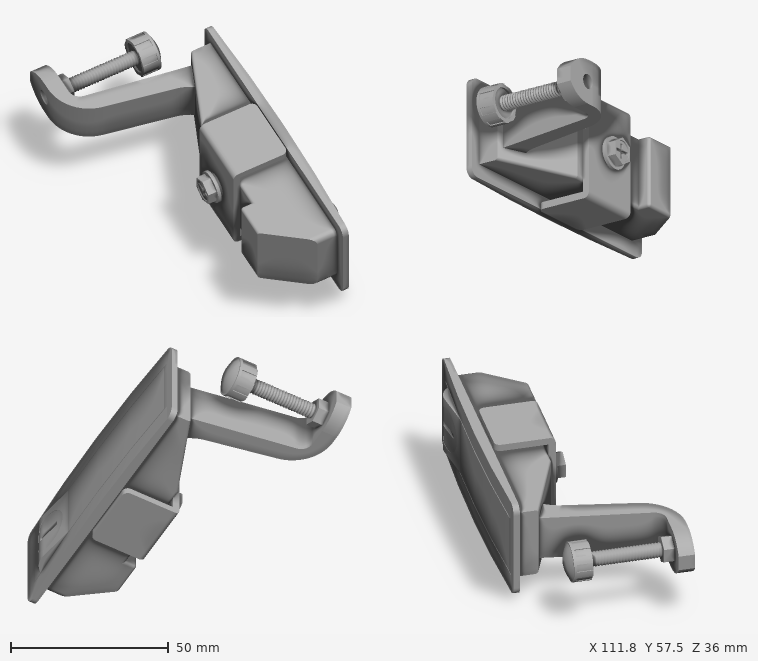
import cadquery as cq
import math


PLATE_LENGTH = 92.5
PLATE_WIDTH = 33.5
PLATE_THICKNESS = 2.1
PLATE_CORNER_RADIUS = 3.0
CROWN_LENGTH = PLATE_LENGTH - 2 * PLATE_CORNER_RADIUS
CROWN_TOP = 3.5

HANDLE_WIDTH = 20.0
HANDLE_GAP = 0.5
HANDLE_LENGTH = 82.7
BUMP_RADIUS = 6.6
BUMP_X = 32.2
BUMP_TOP = 5.1
BUMP_RAMP = math.radians(8.3)
LOCK_X = 28.7
LOCK_DIAMETER = 15.0
LOCK_DEPTH = 0.1
KEY_SLOT_WIDTH = 1.7
KEY_SLOT_LENGTH = 8.9
KEY_SLOT_FLOOR = 3.7

HOUSING_LENGTH = 84.5
HOUSING_WIDTH = 23.9
HOUSING_END_DEPTH = 7.0
HOUSING_DEPTH = 18.2
SLOPE_END_X = -14.3
TOE_DEPTH = 22.4
TOE_START_X = 19.1
TOE_END_X = 30.6
HOUSING_EDGE_RADIUS = 1.0
HOUSING_CORNER_RADIUS = 2.0

ARM_WIDTH = 15.0
ARM_THICKNESS = 5.4
ARM_FOOT_DEPTH = 52.4
ARM_TIP_X = PLATE_LENGTH / 2 - 111.8
ARM_TIP_RADIUS = 11.2
ARM_OUTER_RADIUS = 14.8
ARM_INNER_RADIUS = 4.0
ARM_BEND_X = -53.6
ARM_OUTER_LEAN = math.radians(11)
ARM_INNER_LEAN = math.radians(9)
ARM_INNER_CORNER_X = -46.4
ARM_NECK_Y = -16.5
ARM_NECK_RADIUS = 15.0
ARM_NECK_END_LEAN = math.radians(45)
ARM_ROOT_Y = -4.5

ADJUSTER_X = -56.2
THREAD_DIAMETER = 5.0
THREAD_ROOT_DIAMETER = 4.5
THREAD_PITCH = 1.0
NUT_ACROSS_FLATS = 8.0
NUT_HEIGHT = 3.5
KNOB_DIAMETER = 13.1
KNOB_TOP_Y = -13.6
KNOB_BOTTOM_Y = -19.9
KNOB_DOME_DIAMETER = 12.1
KNOB_DOME_HEIGHT = 2.0
KNOB_RECESS_DIAMETER = 10.2
KNOB_RECESS_DEPTH = 0.7
FLUTE_COUNT = 8
FLUTE_DEPTH = 0.3
FLUTE_END_Y = -14.5

BRACKET_LENGTH = 22.6
BRACKET_WIDTH = 36.0
BRACKET_THICKNESS = 2.3
BRACKET_TOP_Y = -0.8
BRACKET_BOTTOM_Y = -HOUSING_DEPTH - BRACKET_THICKNESS
BRACKET_RADIUS = 2.0

BOLT_NECK_DIAMETER = 8.5
BOLT_NECK_HEIGHT = 0.7
BOLT_CONE_DIAMETER = 9.3
BOLT_CONE_HEIGHT = 0.5
BOLT_FLANGE_DIAMETER = 11.0
BOLT_FLANGE_HEIGHT = 1.1
BOLT_ACROSS_FLATS = 8.0
BOLT_HEAD_HEIGHT = 2.9
DISH_DIAMETER = 7.0
DISH_DEPTH = 0.5
CROSS_WIDTH = 1.0
CROSS_LONG = DISH_DIAMETER
CROSS_SHORT = 5.1
CROSS_CENTRE = 2.7
CROSS_DEPTH = 1.3


def extrude_across(outline, width):
    """Extrude an XY outline by `width`, centred on Z = 0."""
    return outline.extrude(width / 2, both=True)


def plane_at(x, y):
    """Workplane at (x, y, 0) facing -Y, with local X along X and local Y along Z."""
    return cq.Workplane("XZ", origin=(x, y, 0))


def hexagon_prism(x, y, across_flats, height):
    """Hexagonal prism going from y towards -Y, with two corners on the Z axis."""
    corner_diameter = across_flats / math.cos(math.pi / 6)
    return (
        plane_at(x, y)
        .transformed(rotate=(0, 0, 90))
        .polygon(6, corner_diameter)
        .extrude(height)
    )


def crowned_strip(length, width):
    """Strip whose top follows the crown arc, cut to a length and width."""
    half = CROWN_LENGTH / 2
    crown = (
        cq.Workplane("XY")
        .moveTo(-half, 0)
        .lineTo(-half, PLATE_THICKNESS)
        .threePointArc((0, CROWN_TOP), (half, PLATE_THICKNESS))
        .lineTo(half, 0)
        .close()
    )
    limits = cq.Workplane("XY").box(length, 4 * CROWN_TOP, width)
    return extrude_across(crown, width).intersect(limits)


def make_plate():
    rim = (
        plane_at(0, 0)
        .rect(PLATE_LENGTH, PLATE_WIDTH)
        .extrude(-PLATE_THICKNESS)
        .edges("|Y")
        .fillet(PLATE_CORNER_RADIUS)
    )
    window = cq.Workplane("XY", origin=(0, PLATE_THICKNESS + CROWN_TOP / 2, 0)).box(
        CROWN_LENGTH, CROWN_TOP, HANDLE_WIDTH + 2 * HANDLE_GAP
    )
    return rim.union(crowned_strip(CROWN_LENGTH, PLATE_WIDTH).cut(window))


def make_bump():
    """Finger bump: a straight ramp tangent to a round nose, with a sunk lock disc and a key slot."""
    nose_y = BUMP_TOP - BUMP_RADIUS
    tangent_x = BUMP_X - BUMP_RADIUS * math.sin(BUMP_RAMP)
    tangent_y = nose_y + BUMP_RADIUS * math.cos(BUMP_RAMP)
    ramp_start_x = tangent_x - tangent_y / math.tan(BUMP_RAMP)
    nose_end_x = BUMP_X + math.sqrt(BUMP_RADIUS**2 - nose_y**2)
    outline = (
        cq.Workplane("XY")
        .moveTo(ramp_start_x, 0)
        .lineTo(tangent_x, tangent_y)
        .threePointArc((BUMP_X, BUMP_TOP), (nose_end_x, 0))
        .close()
    )
    bump = extrude_across(outline, HANDLE_WIDTH)
    lock_column = plane_at(LOCK_X, 0).circle(LOCK_DIAMETER / 2).extrude(-BUMP_TOP)
    lock = bump.translate((0, -LOCK_DEPTH, 0)).intersect(lock_column)
    key_slot = plane_at(LOCK_X, KEY_SLOT_FLOOR).rect(KEY_SLOT_LENGTH, KEY_SLOT_WIDTH).extrude(-BUMP_TOP)
    return bump.cut(lock_column).union(lock).cut(key_slot)


def make_handle():
    return crowned_strip(HANDLE_LENGTH, HANDLE_WIDTH).union(make_bump())


def make_shell():
    half = HOUSING_LENGTH / 2
    outline = cq.Workplane("XY").polyline(
        [
            (-half, 0),
            (half, 0),
            (half, -HOUSING_END_DEPTH),
            (TOE_END_X, -TOE_DEPTH),
            (TOE_START_X, -TOE_DEPTH),
            (TOE_START_X, -HOUSING_DEPTH),
            (SLOPE_END_X, -HOUSING_DEPTH),
            (-half, -HOUSING_END_DEPTH),
        ]
    ).close()
    shell = extrude_across(outline, HOUSING_WIDTH)
    shell = shell.edges("|Y and >X").fillet(HOUSING_CORNER_RADIUS)

    side = HOUSING_WIDTH / 2
    rounded_edges = [(TOE_START_X, -TOE_DEPTH, 0)]
    for z in (-side, side):
        rounded_edges += [
            ((SLOPE_END_X - half) / 2, -(HOUSING_DEPTH + HOUSING_END_DEPTH) / 2, z),
            ((SLOPE_END_X + TOE_START_X) / 2, -HOUSING_DEPTH, z),
            (TOE_START_X, -(HOUSING_DEPTH + TOE_DEPTH) / 2, z),
            ((TOE_START_X + TOE_END_X) / 2, -TOE_DEPTH, z),
        ]
    picked = shell.newObject([])
    for point in rounded_edges:
        picked = picked.add(shell.edges(cq.selectors.NearestToPointSelector(point)))
    return picked.fillet(HOUSING_EDGE_RADIUS)


def make_arm():
    foot_y = -ARM_FOOT_DEPTH
    top_y = foot_y + ARM_THICKNESS
    bend_y = foot_y + ARM_OUTER_RADIUS

    def outer_bend(angle):
        return (
            ARM_BEND_X + ARM_OUTER_RADIUS * math.cos(angle),
            bend_y + ARM_OUTER_RADIUS * math.sin(angle),
        )

    outer_start = outer_bend(-ARM_OUTER_LEAN)
    neck_x = outer_start[0] + (ARM_NECK_Y - outer_start[1]) * math.tan(ARM_OUTER_LEAN)
    neck_centre = (
        neck_x + ARM_NECK_RADIUS * math.cos(ARM_OUTER_LEAN),
        ARM_NECK_Y - ARM_NECK_RADIUS * math.sin(ARM_OUTER_LEAN),
    )

    def neck(lean):
        return (
            neck_centre[0] - ARM_NECK_RADIUS * math.cos(lean),
            neck_centre[1] + ARM_NECK_RADIUS * math.sin(lean),
        )

    root_x = ARM_INNER_CORNER_X + (ARM_ROOT_Y - top_y) * math.tan(ARM_INNER_LEAN)
    outline = (
        cq.Workplane("XY")
        .moveTo(ARM_TIP_X, top_y)
        .lineTo(ARM_TIP_X, foot_y)
        .lineTo(ARM_BEND_X, foot_y)
        .threePointArc(outer_bend(-math.pi / 4), outer_start)
        .lineTo(neck_x, ARM_NECK_Y)
        .threePointArc(neck((ARM_OUTER_LEAN + ARM_NECK_END_LEAN) / 2), neck(ARM_NECK_END_LEAN))
        .lineTo(root_x, ARM_ROOT_Y)
        .lineTo(ARM_INNER_CORNER_X, top_y)
        .close()
    )
    inner_corner = cq.selectors.NearestToPointSelector((ARM_INNER_CORNER_X, top_y, 0))
    arm = extrude_across(outline, ARM_WIDTH).edges("|Z").edges(inner_corner).fillet(ARM_INNER_RADIUS)
    hole = plane_at(ADJUSTER_X, top_y).circle(THREAD_DIAMETER / 2).extrude(ARM_THICKNESS)
    return arm.intersect(make_arm_plan()).cut(hole)


def make_arm_plan():
    """Column over the arm's XZ outline: straight sides, two arcs and a short flat at the tip."""
    half = ARM_WIDTH / 2
    arc_z = half - ARM_TIP_RADIUS

    def tip_z(x):
        return arc_z + math.sqrt(ARM_TIP_RADIUS**2 - (x - ADJUSTER_X) ** 2)

    middle_x = (ARM_TIP_X + ADJUSTER_X) / 2
    return (
        plane_at(0, 0)
        .moveTo(0, half)
        .lineTo(ADJUSTER_X, half)
        .threePointArc((middle_x, tip_z(middle_x)), (ARM_TIP_X, tip_z(ARM_TIP_X)))
        .lineTo(ARM_TIP_X, -tip_z(ARM_TIP_X))
        .threePointArc((middle_x, -tip_z(middle_x)), (ADJUSTER_X, -half))
        .lineTo(0, -half)
        .close()
        .extrude(ARM_FOOT_DEPTH)
    )


def make_housing():
    """Shell, plate, handle and arm, joined in one piece."""
    return make_shell().union(make_plate()).union(make_handle()).union(make_arm())


def make_knob():
    height = KNOB_TOP_Y - KNOB_BOTTOM_Y
    radius = KNOB_DIAMETER / 2
    recess_radius = KNOB_RECESS_DIAMETER / 2
    recess_y = KNOB_BOTTOM_Y + KNOB_RECESS_DEPTH
    dome_radius = KNOB_DOME_DIAMETER / 2
    sphere_radius = (dome_radius**2 + KNOB_DOME_HEIGHT**2) / (2 * KNOB_DOME_HEIGHT)
    dome_top_y = KNOB_TOP_Y + KNOB_DOME_HEIGHT
    half_angle = math.asin(dome_radius / sphere_radius) / 2
    dome_middle = (
        sphere_radius * math.sin(half_angle),
        dome_top_y - sphere_radius * (1 - math.cos(half_angle)),
    )
    knob = (
        cq.Workplane("XY")
        .moveTo(0, recess_y)
        .lineTo(recess_radius, recess_y)
        .lineTo(recess_radius, KNOB_BOTTOM_Y)
        .lineTo(radius, KNOB_BOTTOM_Y)
        .lineTo(radius, KNOB_TOP_Y)
        .lineTo(dome_radius, KNOB_TOP_Y)
        .threePointArc(dome_middle, (0, dome_top_y))
        .close()
        .revolve(360, (0, 0), (0, 1))
    )

    flute_step = 360 / FLUTE_COUNT
    flute_reach = KNOB_DIAMETER * math.tan(math.radians(flute_step / 2))
    flute = (
        plane_at(0, FLUTE_END_Y)
        .polyline([(0, 0), (0, KNOB_DIAMETER), (flute_reach, KNOB_DIAMETER)])
        .close()
        .extrude(height)
        .cut(plane_at(0, FLUTE_END_Y).circle(radius - FLUTE_DEPTH).extrude(height))
    )
    for index in range(FLUTE_COUNT):
        knob = knob.cut(flute.rotate((0, 0, 0), (0, 1, 0), index * flute_step))
    return knob


def make_stud(end_y):
    """Threaded stud along Y as a row of V-shaped rings, from the knob recess down to end_y."""
    crest = THREAD_DIAMETER / 2
    root = THREAD_ROOT_DIAMETER / 2
    top_y = KNOB_BOTTOM_Y + KNOB_RECESS_DEPTH
    ring_count = math.floor((top_y - end_y) / THREAD_PITCH)
    points = [(0, end_y), (root, end_y)]
    for index in range(ring_count):
        ring_y = end_y + index * THREAD_PITCH
        points += [(crest, ring_y + THREAD_PITCH / 2), (root, ring_y + THREAD_PITCH)]
    points += [(root, top_y), (0, top_y)]
    return cq.Workplane("XY").polyline(points).close().revolve(360, (0, 0), (0, 1))


def make_adjuster():
    """Knob, stud and nut; the nut rests on the arm's foot."""
    foot_top_y = ARM_THICKNESS - ARM_FOOT_DEPTH
    nut = hexagon_prism(0, foot_top_y + NUT_HEIGHT, NUT_ACROSS_FLATS, NUT_HEIGHT)
    adjuster = make_knob().union(make_stud(foot_top_y + NUT_HEIGHT)).union(nut)
    return adjuster.translate((ADJUSTER_X, 0, 0))


def make_bracket():
    """U-shaped strap around the housing, its web resting on the housing."""
    height = BRACKET_TOP_Y - BRACKET_BOTTOM_Y
    centre_y = (BRACKET_TOP_Y + BRACKET_BOTTOM_Y) / 2
    block = cq.Workplane("XY", origin=(0, centre_y, 0)).box(BRACKET_LENGTH, height, BRACKET_WIDTH)
    block = block.edges("|X and <Y").fillet(BRACKET_RADIUS)
    block = block.edges("|Z and >Y").fillet(BRACKET_RADIUS)
    inner_width = BRACKET_WIDTH - 2 * BRACKET_THICKNESS
    return block.cut(plane_at(0, 0).rect(BRACKET_LENGTH, inner_width).extrude(HOUSING_DEPTH))


def make_bolt():
    """Flanged hexagon bolt on the bracket, with a dished head and a cross recess."""
    cone_y = BRACKET_BOTTOM_Y - BOLT_NECK_HEIGHT
    flange_y = cone_y - BOLT_CONE_HEIGHT
    head_y = flange_y - BOLT_FLANGE_HEIGHT
    end_y = head_y - BOLT_HEAD_HEIGHT
    profile = [
        (0, BRACKET_BOTTOM_Y),
        (BOLT_NECK_DIAMETER / 2, BRACKET_BOTTOM_Y),
        (BOLT_NECK_DIAMETER / 2, cone_y),
        (BOLT_CONE_DIAMETER / 2, flange_y),
        (BOLT_FLANGE_DIAMETER / 2, flange_y),
        (BOLT_FLANGE_DIAMETER / 2, head_y),
        (0, head_y),
    ]
    flange = cq.Workplane("XY").polyline(profile).close().revolve(360, (0, 0), (0, 1))
    bolt = flange.union(hexagon_prism(0, head_y, BOLT_ACROSS_FLATS, BOLT_HEAD_HEIGHT))
    end = plane_at(0, end_y)
    dish = end.circle(DISH_DIAMETER / 2).extrude(-DISH_DEPTH)
    cross = (
        end.rect(CROSS_LONG, CROSS_WIDTH)
        .extrude(-CROSS_DEPTH)
        .union(end.rect(CROSS_WIDTH, CROSS_SHORT).extrude(-CROSS_DEPTH))
        .union(end.polygon(4, CROSS_CENTRE).extrude(-CROSS_DEPTH))
    )
    return bolt.cut(dish).cut(cross)


housing = make_housing()
bracket = make_bracket()
bolt = make_bolt()
adjuster = make_adjuster()

result = cq.Compound.makeCompound(
    [
        housing.solids().val(),
        bracket.solids().val(),
        bolt.solids().val(),
        adjuster.solids().val(),
    ]
)